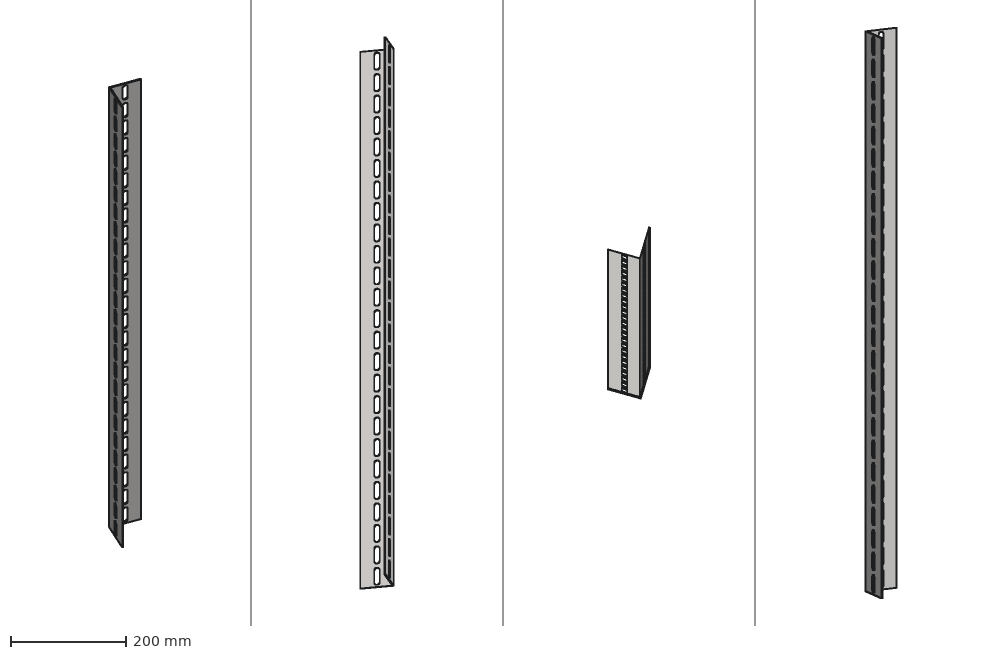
import cadquery as cq

length = 1000.0
leg_width = 60.0
thickness = 2.5

slot_count = 25
slot_length = 32.0
slot_width = 10.0
slot_angle = 90
slot_pitch = length / slot_count
slot_offset = leg_width / 2


def angle_bar():
    """L-section with its outer corner on the Z axis."""
    return (
        cq.Workplane("XY")
        .moveTo(0, 0)
        .lineTo(leg_width, 0)
        .lineTo(leg_width, thickness)
        .lineTo(thickness, thickness)
        .lineTo(thickness, leg_width)
        .lineTo(0, leg_width)
        .close()
        .extrude(length)
    )


def slot_row(plane):
    """Cutters for one leg, standing on both sides of the given plane."""
    centres = [(slot_offset, slot_pitch / 2 + i * slot_pitch) for i in range(slot_count)]
    return (
        cq.Workplane(plane)
        .pushPoints(centres)
        .slot2D(slot_length, slot_width, slot_angle)
        .extrude(thickness, both=True)
    )


front_leg_slots = slot_row("XZ")
side_leg_slots = slot_row("YZ")
result = angle_bar().cut(front_leg_slots).cut(side_leg_slots)